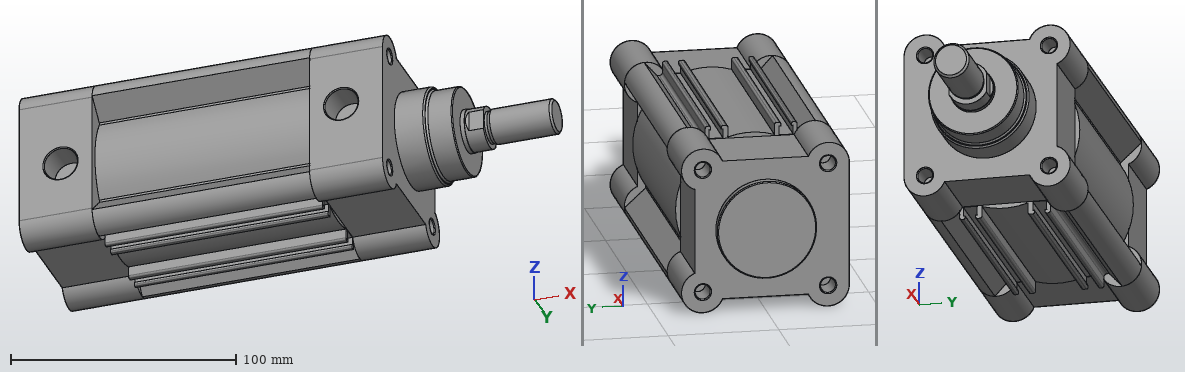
import cadquery as cq
import math


BOSS_LENGTH = 4.0
CAP_LENGTH = 34.5
BARREL_LENGTH = 102.5
HUB_LENGTH = 14.2
NECK_LENGTH = 1.0
NOSE_LENGTH = 26.5
TOTAL_LENGTH = 244.0
REAR_CAP_X = BOSS_LENGTH
BARREL_X = REAR_CAP_X + CAP_LENGTH
FRONT_CAP_X = BARREL_X + BARREL_LENGTH
HUB_X = FRONT_CAP_X + CAP_LENGTH
ROD_X = HUB_X + NOSE_LENGTH

OUTER_HALF = 37.95
BOLT_OFFSET = 28.3
LUG_RADIUS = OUTER_HALF - BOLT_OFFSET
CAP_HALF = 32.0
BOLT_HOLE_RADIUS = 3.5
BOLT_HOLE_DEPTH = 12.2
BOLT_HOLE_CHAMFER = 0.5
HUB_RADIUS = 22.5
HUB_CHAMFER = 0.7
NECK_RADIUS = 21.2
BOSS_CHAMFER = 0.5
COLLAR_RADIUS = 20.5
COLLAR_CHAMFER = 0.5
PORT_RADIUS = 7.8
PORT_CHAMFER = 0.5
PORT_DEPTH = 14.6
PORT_X_FROM_FACE = 19.5
PORT_Z = 2.7

BARREL_RADIUS = 34.2
VALLEY = 28.3
SIDE_SLOPE_START = 20.3
TOP_SHELF = 31.5
TOP_SHELF_START = 23.2
BAR_EDGE = 29.0
BAR_EDGE_REACH = BOLT_OFFSET + math.sqrt(LUG_RADIUS**2 - (BAR_EDGE - BOLT_OFFSET) ** 2)
SLOT_FLOOR = 32.2
SLOT_OUTER_WALL = 19.0
SLOT_INNER_WALL = 12.7
OUTER_RAIL_WIDTH = 1.7
INNER_RAIL_WIDTH = 2.2
RAIL_FILLET = 1.5
RAIL_ROUND = 1.0
LIP_REACH = 0.7
LIP_HEIGHT = 1.7

ROD_RADIUS = 10.0
ROD_END_X = ROD_X + 2.0
WRENCH_RADIUS = 9.8
FLATS_HALF = 8.5
FLATS_X = ROD_X + 3.7
SHOULDER_X = ROD_X + 10.5
RELIEF_RADIUS = 7.45
RELIEF_LENGTH = 1.2
RELIEF_TAPER = 1.5
THREAD_RADIUS = 8.0
THREAD_CHAMFER = 1.0

CORNERS = [(y, z) for y in (-1, 1) for z in (-1, 1)]


def section_plane(x):
    """Plane across the axis at x, with local x along +Y and local y along +Z."""
    return cq.Workplane("YZ", origin=(x, 0, 0))


def turned(profile):
    """Solid of revolution about X from (x, radius) points."""
    return cq.Workplane("XY").polyline(profile).close().revolve(360, (0, 0, 0), (1, 0, 0))


def bolt_points():
    return [(y * BOLT_OFFSET, z * BOLT_OFFSET) for y, z in CORNERS]


def cap_block(x):
    """Square block with round corner lugs, filled out flat on the port side (-Y)."""
    block = section_plane(x).rect(2 * CAP_HALF, 2 * CAP_HALF).extrude(CAP_LENGTH)
    port_side = (
        section_plane(x)
        .center(-(OUTER_HALF + BOLT_OFFSET) / 2, 0)
        .rect(LUG_RADIUS, 2 * BOLT_OFFSET)
        .extrude(CAP_LENGTH)
    )
    lugs = section_plane(x).pushPoints(bolt_points()).circle(LUG_RADIUS).extrude(CAP_LENGTH)
    return block.union(port_side).union(lugs)


def port(x, z):
    """Cutter for a blind port with a chamfered mouth on the -Y face."""
    face = cq.Workplane("XZ", origin=(x, -OUTER_HALF, z))
    bore = face.circle(PORT_RADIUS).extrude(-PORT_DEPTH)
    mouth = face.circle(PORT_RADIUS + PORT_CHAMFER).extrude(-PORT_CHAMFER, taper=45)
    return bore.union(mouth)


def bolt_holes(face_x, inward):
    """Chamfered blind holes in the four lugs; inward is +1 or -1 along X."""
    mouth_radius = BOLT_HOLE_RADIUS + BOLT_HOLE_CHAMFER
    profile = [
        (face_x, 0),
        (face_x, mouth_radius),
        (face_x + inward * BOLT_HOLE_CHAMFER, BOLT_HOLE_RADIUS),
        (face_x + inward * BOLT_HOLE_DEPTH, BOLT_HOLE_RADIUS),
        (face_x + inward * BOLT_HOLE_DEPTH, 0),
    ]
    hole = turned(profile)
    holes = cq.Workplane()
    for y, z in bolt_points():
        holes = holes.add(hole.translate((0, y, z)))
    return holes.combine()


def make_rear_cap():
    boss = section_plane(0).circle(HUB_RADIUS).extrude(BOSS_LENGTH)
    boss = boss.faces("<X").chamfer(BOSS_CHAMFER)
    cap = cap_block(REAR_CAP_X).union(boss)
    cap = cap.cut(bolt_holes(REAR_CAP_X, 1))
    return cap.cut(port(REAR_CAP_X + PORT_X_FROM_FACE, -PORT_Z))


def make_front_cap():
    hub_end = HUB_X + HUB_LENGTH
    nose = turned([
        (HUB_X, 0),
        (HUB_X, HUB_RADIUS),
        (hub_end - HUB_CHAMFER, HUB_RADIUS),
        (hub_end, HUB_RADIUS - HUB_CHAMFER),
        (hub_end, NECK_RADIUS),
        (hub_end + NECK_LENGTH, COLLAR_RADIUS),
        (ROD_X - COLLAR_CHAMFER, COLLAR_RADIUS),
        (ROD_X, COLLAR_RADIUS - COLLAR_CHAMFER),
        (ROD_X, 0),
    ])
    cap = cap_block(FRONT_CAP_X).union(nose)
    cap = cap.cut(bolt_holes(HUB_X, -1))
    return cap.cut(port(HUB_X - PORT_X_FROM_FACE, PORT_Z))


def corner_web():
    """Corner of the barrel: a rounded edge, slopes to the side valley and top shelf, and the slot floor."""
    rail_back = SLOT_OUTER_WALL + OUTER_RAIL_WIDTH
    arc_middle = BOLT_OFFSET + LUG_RADIUS / math.sqrt(2)
    return (
        section_plane(BARREL_X)
        .moveTo(0, 0)
        .lineTo(VALLEY, 0)
        .lineTo(VALLEY, SIDE_SLOPE_START)
        .lineTo(BAR_EDGE_REACH, BAR_EDGE)
        .threePointArc((arc_middle, arc_middle), (BAR_EDGE, BAR_EDGE_REACH))
        .lineTo(TOP_SHELF_START, TOP_SHELF)
        .lineTo(rail_back + RAIL_FILLET, TOP_SHELF)
        .radiusArc((rail_back, TOP_SHELF + RAIL_FILLET), RAIL_FILLET)
        .lineTo(SLOT_OUTER_WALL, SLOT_FLOOR)
        .lineTo(SLOT_INNER_WALL - INNER_RAIL_WIDTH, SLOT_FLOOR)
        .close()
        .extrude(BARREL_LENGTH)
    )


def rail(wall, outward, width):
    """Upright rail with a rounded lip reaching over the slot; outward points away from the slot."""
    back = wall + outward * width
    lip = wall - outward * LIP_REACH
    return (
        section_plane(BARREL_X)
        .moveTo(wall, SLOT_FLOOR)
        .lineTo(back, SLOT_FLOOR)
        .lineTo(back, OUTER_HALF - RAIL_ROUND)
        .radiusArc((back - outward * RAIL_ROUND, OUTER_HALF), -outward * RAIL_ROUND)
        .lineTo(wall, OUTER_HALF)
        .radiusArc((lip, OUTER_HALF - LIP_REACH), -outward * LIP_REACH)
        .lineTo(lip, OUTER_HALF - LIP_HEIGHT)
        .lineTo(wall, OUTER_HALF - LIP_HEIGHT)
        .close()
        .extrude(BARREL_LENGTH)
    )


def in_all_quarters(shape):
    half = shape.union(shape.mirror("XZ"))
    return half.union(half.mirror("XY"))


def make_barrel():
    barrel = section_plane(BARREL_X).circle(BARREL_RADIUS).extrude(BARREL_LENGTH)
    barrel = barrel.union(in_all_quarters(corner_web()))
    barrel = barrel.union(in_all_quarters(rail(SLOT_OUTER_WALL, 1, OUTER_RAIL_WIDTH)))
    return barrel.union(in_all_quarters(rail(SLOT_INNER_WALL, -1, INNER_RAIL_WIDTH)))


def wrench_flat():
    """Cutter for the flat on the +Y side, with a 45 degree run-out towards the rod."""
    overshoot = ROD_RADIUS
    return (
        cq.Workplane("XY", origin=(0, 0, -ROD_RADIUS))
        .moveTo(FLATS_X, FLATS_HALF)
        .lineTo(SHOULDER_X, FLATS_HALF)
        .lineTo(SHOULDER_X, FLATS_HALF + overshoot)
        .lineTo(FLATS_X - overshoot, FLATS_HALF + overshoot)
        .close()
        .extrude(2 * ROD_RADIUS)
    )


def make_piston_rod():
    rod = turned([
        (ROD_X, 0),
        (ROD_X, ROD_RADIUS),
        (ROD_END_X, ROD_RADIUS),
        (ROD_END_X, WRENCH_RADIUS),
        (SHOULDER_X, WRENCH_RADIUS),
        (SHOULDER_X, RELIEF_RADIUS),
        (SHOULDER_X + RELIEF_LENGTH, RELIEF_RADIUS),
        (SHOULDER_X + RELIEF_LENGTH + RELIEF_TAPER, THREAD_RADIUS),
        (TOTAL_LENGTH - THREAD_CHAMFER, THREAD_RADIUS),
        (TOTAL_LENGTH, THREAD_RADIUS - THREAD_CHAMFER),
        (TOTAL_LENGTH, 0),
    ])
    flat = wrench_flat()
    return rod.cut(flat).cut(flat.mirror("XZ"))


rear_cap = make_rear_cap()
barrel = make_barrel()
front_cap = make_front_cap()
piston_rod = make_piston_rod()

result = cq.Compound.makeCompound([
    rear_cap.val(),
    barrel.val(),
    front_cap.val(),
    piston_rod.val(),
])